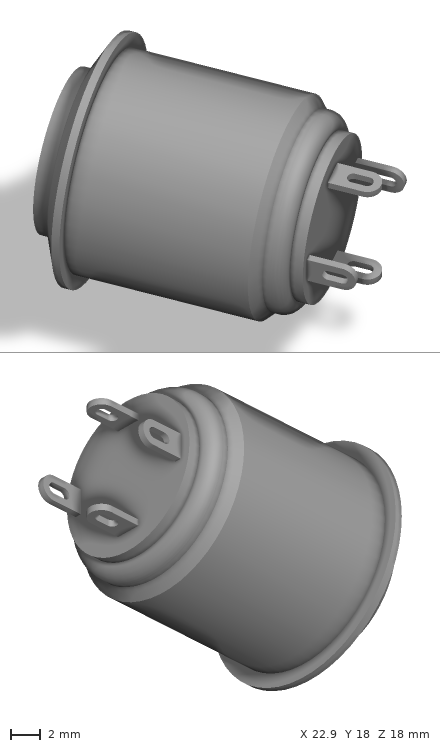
import cadquery as cq


total_length = 22.9
button_protrusion = 1.4
bevel_length = 1.0
rim_thickness = 0.57
barrel_end = 16.15
neck_start = 16.9
neck_end = 18.48
boss_end = 19.4
rim_start = button_protrusion + bevel_length
flange_rear = rim_start + rim_thickness

flange_diameter = 18.0
flange_face_diameter = 14.0
barrel_diameter = 15.9
neck_diameter = 14.3
boss_diameter = 12.0
recess_diameter = 11.9
button_diameter = 11.8
button_hole_diameter = 4.0

neck_fillet = 1.08

recess_floor = flange_rear

terminal_width = 2.0
terminal_thickness = 0.5
terminal_slot_width = 0.85
terminal_slot_spacing = 1.0
terminal_offset_z = 4.21
terminal_offset_y = 4.9
terminal_overlap = 0.23
terminal_tip_center = total_length - terminal_width / 2


def cylinder(start, end, diameter):
    """Cylinder on the X axis between two axial positions."""
    return cq.Workplane("YZ", origin=(start, 0, 0)).circle(diameter / 2).extrude(end - start)


def make_shell():
    """Turned housing: bevelled flange, barrel, rounded neck and rear boss, with the button recess."""
    profile = [
        (button_protrusion, 0),
        (button_protrusion, flange_face_diameter / 2),
        (rim_start, flange_diameter / 2),
        (flange_rear, flange_diameter / 2),
        (flange_rear, barrel_diameter / 2),
        (barrel_end, barrel_diameter / 2),
        (neck_start, neck_diameter / 2),
    ]
    shell = (
        cq.Workplane("XY")
        .polyline(profile)
        .lineTo(neck_end - neck_fillet, neck_diameter / 2)
        .radiusArc((neck_end, neck_diameter / 2 - neck_fillet), neck_fillet)
        .lineTo(neck_end, boss_diameter / 2)
        .lineTo(boss_end, boss_diameter / 2)
        .lineTo(boss_end, 0)
        .close()
        .revolve(360, (0, 0, 0), (1, 0, 0))
    )
    return shell.cut(cylinder(button_protrusion, recess_floor, recess_diameter))


def make_terminal():
    """Flat round-ended terminal in the XY plane, centred on the X axis, with a wire slot."""
    half_width = terminal_width / 2
    root = boss_end - terminal_overlap
    blade = (
        cq.Workplane("XY")
        .moveTo(root, -half_width)
        .lineTo(terminal_tip_center, -half_width)
        .threePointArc((total_length, 0), (terminal_tip_center, half_width))
        .lineTo(root, half_width)
        .close()
        .extrude(terminal_thickness / 2, both=True)
    )
    slot = (
        cq.Workplane("XY")
        .center(terminal_tip_center - terminal_slot_spacing / 2, 0)
        .slot2D(terminal_slot_spacing + terminal_slot_width, terminal_slot_width)
        .extrude(terminal_thickness / 2, both=True)
    )
    return blade.cut(slot)


def make_housing():
    """Shell with its four terminals, facing up, down and to both sides around the X axis."""
    housing = make_shell()
    for side in (-1, 1):
        flat_terminal = make_terminal().translate((0, 0, side * terminal_offset_z))
        upright_terminal = (
            make_terminal()
            .rotate((0, 0, 0), (1, 0, 0), 90)
            .translate((0, side * terminal_offset_y, 0))
        )
        housing = housing.union(flat_terminal).union(upright_terminal)
    return housing.solids()


def make_button():
    """Round button with a central hole through it down to the recess floor."""
    hole = cylinder(0, recess_floor, button_hole_diameter)
    return cylinder(0, recess_floor, button_diameter).cut(hole)


housing = make_housing()
button = make_button()

result = cq.Compound.makeCompound([housing.val(), button.val()])